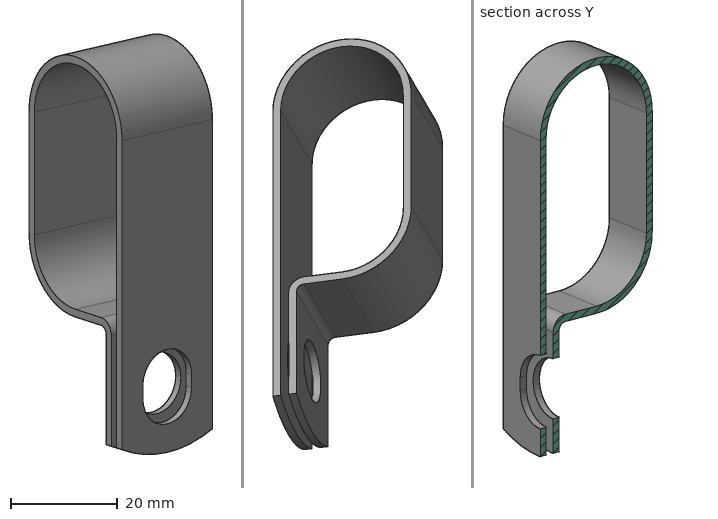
import cadquery as cq
import math

thickness = 1.524
strip_width = 22.225

loop_inner_diameter = 23.8
loop_center_distance = 23.8125
loop_radius = loop_inner_diameter / 2 + thickness

overall_height = 76.11
tab_gap = 1.56
bend_inner_radius = 1.45
tab_end_radius = 25.4
hole_diameter = 11.906
slot_length = 14.5
hole_to_tab_end = 12.8

upper_center_z = loop_center_distance
top_z = upper_center_z + loop_radius
tab_end_z = top_z - overall_height
hole_z = tab_end_z + hole_to_tab_end

bent_tab_x = loop_radius - thickness - tab_gap


def strip_profile():
    """Closed edge outline of the bent strip in the XZ plane."""
    inner_radius = loop_radius - thickness
    bend_outer_radius = bend_inner_radius + thickness
    bend_x = bent_tab_x - bend_outer_radius
    bend_z = -inner_radius - bend_outer_radius
    diagonal = math.sqrt(0.5)

    return (
        cq.Workplane("XZ")
        .moveTo(loop_radius, tab_end_z)
        .lineTo(loop_radius, upper_center_z)
        .threePointArc((0, top_z), (-loop_radius, upper_center_z))
        .lineTo(-loop_radius, 0)
        .threePointArc((-loop_radius * diagonal, -loop_radius * diagonal), (0, -loop_radius))
        .lineTo(bend_x, -loop_radius)
        .threePointArc(
            (bend_x + bend_inner_radius * diagonal, bend_z + bend_inner_radius * diagonal),
            (bend_x + bend_inner_radius, bend_z),
        )
        .lineTo(bent_tab_x - thickness, tab_end_z)
        .lineTo(bent_tab_x, tab_end_z)
        .lineTo(bent_tab_x, bend_z)
        .threePointArc(
            (bend_x + bend_outer_radius * diagonal, bend_z + bend_outer_radius * diagonal),
            (bend_x, -inner_radius),
        )
        .lineTo(0, -inner_radius)
        .threePointArc((-inner_radius * diagonal, -inner_radius * diagonal), (-inner_radius, 0))
        .lineTo(-inner_radius, upper_center_z)
        .threePointArc((0, upper_center_z + inner_radius), (inner_radius, upper_center_z))
        .lineTo(inner_radius, tab_end_z)
        .close()
    )


def face_envelope():
    """Block bounding the strip as seen along X, with the rounded tab ends."""
    half_width = strip_width / 2
    corner_rise = tab_end_radius - math.sqrt(tab_end_radius**2 - half_width**2)

    return (
        cq.Workplane("YZ")
        .moveTo(-half_width, top_z)
        .lineTo(-half_width, tab_end_z + corner_rise)
        .threePointArc((0, tab_end_z), (half_width, tab_end_z + corner_rise))
        .lineTo(half_width, top_z)
        .close()
        .extrude(loop_radius, both=True)
    )


def tab_workplane(start_x):
    """Plane across X, centered at hole height."""
    return cq.Workplane("YZ", origin=(start_x, 0, hole_z))


def round_hole():
    """Cutter for the round hole through the bent tab."""
    return tab_workplane(bent_tab_x - thickness).circle(hole_diameter / 2).extrude(thickness)


def adjustment_slot():
    """Cutter for the upright slot through the straight tab."""
    return tab_workplane(loop_radius - thickness).slot2D(slot_length, hole_diameter, 90).extrude(thickness)


strip = strip_profile().extrude(strip_width / 2, both=True)
result = strip.intersect(face_envelope()).cut(round_hole()).cut(adjustment_slot())